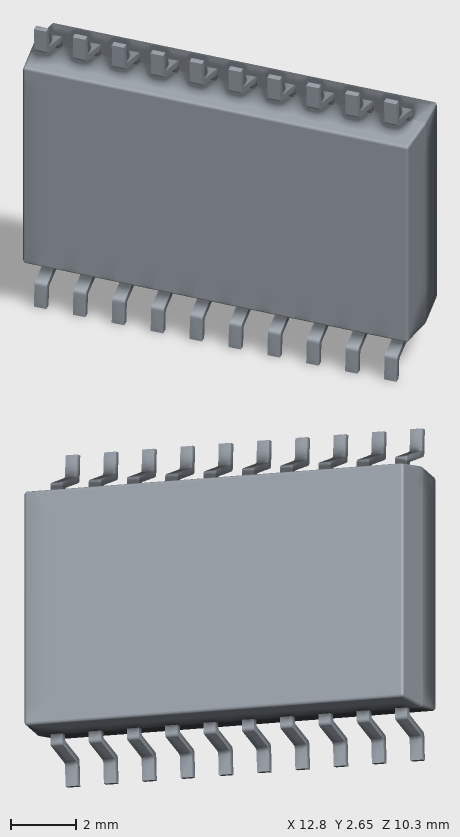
import cadquery as cq
import math

BODY_LENGTH = 12.8
BODY_HEIGHT = 7.51
BODY_DEPTH = 2.65
BODY_DRAFT = 5.0
BODY_EDGE_RADIUS = 0.09

LEADS_PER_ROW = 10
LEAD_PITCH = 1.27
LEAD_WIDTH = 0.406
LEAD_THICKNESS = 0.2
SHOULDER_RADIUS = 0.1
HEEL_RADIUS = 0.13
LEAD_SPAN = 10.33
LEAD_EMBED = 0.5
SHOULDER_HEIGHT = 0.33
SLOPE_ANGLE = 17.5
FOOT_ANGLE = 4.0


def make_body():
    """Both halves of the body, rounded everywhere but along the parting line."""
    outline = cq.Workplane("XZ").rect(BODY_LENGTH, BODY_HEIGHT)
    front_half = outline.extrude(BODY_DEPTH / 2, taper=BODY_DRAFT)
    front_half = front_half.edges("not >Y").fillet(BODY_EDGE_RADIUS)
    return front_half.union(front_half.mirror("XZ"))


def make_upper_lead():
    """Lead of the upper row, centred on X = 0."""
    slope = math.tan(math.radians(SLOPE_ANGLE))
    lean = math.tan(math.radians(FOOT_ANGLE))

    stem_back = LEAD_THICKNESS / 2
    stem_front = -LEAD_THICKNESS / 2
    root = BODY_HEIGHT / 2 - LEAD_EMBED

    shoulder = BODY_HEIGHT / 2 + SHOULDER_HEIGHT
    run_drop = LEAD_THICKNESS / math.cos(math.radians(SLOPE_ANGLE))

    def run_top(y):
        return shoulder + (stem_back - y) * slope

    def run_bottom(y):
        return run_top(y) - run_drop

    tip = LEAD_SPAN / 2
    tip_front = -BODY_DEPTH / 2
    tip_back = tip_front + LEAD_THICKNESS / math.cos(math.radians(FOOT_ANGLE))

    def heel_point(tip_y, run_line):
        """Where the foot line that ends at tip_y meets a line of the slanted run."""
        heel_y = tip_y + (tip - run_line(tip_y)) * lean / (1 - slope * lean)
        return heel_y, run_line(heel_y)

    profile = [
        (stem_front, root),
        (stem_front, run_bottom(stem_front)),
        heel_point(tip_front, run_bottom),
        (tip_front, tip),
        (tip_back, tip),
        heel_point(tip_back, run_top),
        (stem_back, shoulder),
        (stem_back, root),
    ]
    lead = cq.Workplane("YZ").polyline(profile).close().extrude(LEAD_WIDTH / 2, both=True)

    middle_y = tip_front / 2

    def bend_edges(solid, is_heel):
        bends = solid.edges("|X").edges("not (<Z or >Z)")
        return bends.filter(lambda edge: (edge.Center().y < middle_y) == is_heel)

    lead = bend_edges(lead, True).fillet(HEEL_RADIUS)
    return bend_edges(lead, False).fillet(SHOULDER_RADIUS)


def make_part():
    """Body with a row of leads on its upper side and a mirrored row below."""
    part = make_body()
    upper_lead = make_upper_lead()
    lower_lead = upper_lead.mirror("XY")
    first_x = -LEAD_PITCH * (LEADS_PER_ROW - 1) / 2
    for index in range(LEADS_PER_ROW):
        offset = (first_x + index * LEAD_PITCH, 0, 0)
        part = part.union(upper_lead.translate(offset))
        part = part.union(lower_lead.translate(offset))
    return part


result = make_part()